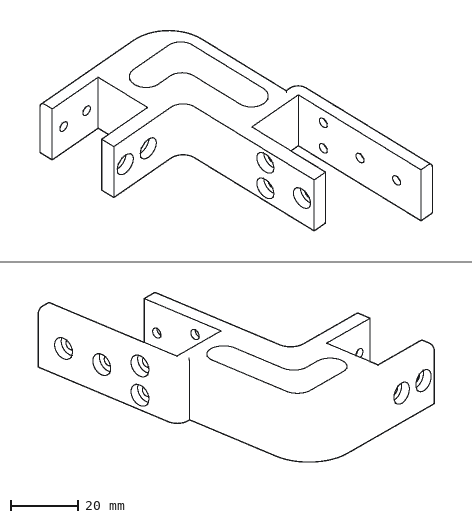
import cadquery as cq

length = 104.2
depth = 60.0
height = 20.0
wall = 5.0
clamp_gap = 20.2
plate_reach = 20.0
arm_reach = 30.2
flange_reach = 50.2
corner_radius = 15.0
step_radius = 4.0
inside_radius = 5.0
edge_round = 2.0
slot_width = 10.0
slot_left = 10.2
slot_bottom = 25.0
slot_right = 49.2
bolt_diameter = 3.2
head_diameter = 7.0
head_depth = 3.0
bolt_inset = 5.0
leg_bolt_pitch = 10.0
arm_bolt_pitch = 15.0

leg_width = 2 * wall + clamp_gap
body_back = depth - wall
arm_back = body_back - clamp_gap
arm_front = arm_back - wall
body_right = length - flange_reach
step_left = body_right - wall
arm_right = body_right + arm_reach
mid_height = height / 2
slot_radius = slot_width / 2
slot_back = body_back - wall


def rounded_at(body, x, y, radius):
    """Round the vertical edge of a body that passes through (x, y)."""
    margin = 0.1
    low = (x - margin, y - margin, -margin)
    high = (x + margin, y + margin, height + margin)
    corner = cq.selectors.BoxSelector(low, high)
    return body.edges("|Z").edges(corner).fillet(radius)


def make_body():
    """L-shaped body with two leg plates, an inner arm and a stepped outer flange."""
    outline = [
        (0, 0),
        (wall, 0),
        (wall, plate_reach),
        (wall + clamp_gap, plate_reach),
        (wall + clamp_gap, 0),
        (leg_width, 0),
        (leg_width, arm_front),
        (arm_right, arm_front),
        (arm_right, arm_back),
        (body_right, arm_back),
        (body_right, body_back),
        (length, body_back),
        (length, depth),
        (step_left, depth),
        (step_left, body_back),
        (0, body_back),
    ]
    body = cq.Workplane("XY").polyline(outline).close().extrude(height)
    body = rounded_at(body, 0, body_back, corner_radius)
    body = rounded_at(body, step_left, depth, step_radius)
    return rounded_at(body, leg_width, arm_front, inside_radius)


def on_outer_edge(edge):
    """Tell whether a top edge lies on the left side, the back or the outside of the flange."""
    middle = edge.positionAt(0.5)
    on_left_side = middle.x < edge_round
    on_back = middle.y > body_back - edge_round and middle.x < body_right
    on_flange = middle.y > depth - edge_round
    on_corner = edge.geomType() == "CIRCLE" and middle.x < corner_radius
    return on_left_side or on_back or on_flange or on_corner


def round_upper_edge(body):
    """Round the upper edge that runs around the outside, from leg end to flange end."""
    outer_edges = [edge for edge in body.faces(">Z").edges().vals() if on_outer_edge(edge)]
    return body.newObject(outer_edges).fillet(edge_round)


def make_window():
    """L-shaped window through the body, with round ends and rounded bends."""
    bend_right = slot_left + slot_width
    bend_front = slot_back - slot_width
    return (
        cq.Workplane("XY")
        .moveTo(slot_left, slot_bottom + slot_radius)
        .radiusArc((bend_right, slot_bottom + slot_radius), -slot_radius)
        .lineTo(bend_right, bend_front - slot_radius)
        .radiusArc((bend_right + slot_radius, bend_front), slot_radius)
        .lineTo(slot_right - slot_radius, bend_front)
        .radiusArc((slot_right - slot_radius, slot_back), -slot_radius)
        .lineTo(slot_left + slot_radius, slot_back)
        .radiusArc((slot_left, slot_back - slot_radius), -slot_radius)
        .close()
        .extrude(height)
    )


def bolt_hole(head_face, inward):
    """Counterbored hole through one plate, starting at the centre of its head face."""
    start = cq.Vector(*head_face)
    direction = cq.Vector(*inward)
    shank = cq.Solid.makeCylinder(bolt_diameter / 2, wall, start, direction)
    head = cq.Solid.makeCylinder(head_diameter / 2, head_depth, start, direction)
    return cq.Workplane(shank.fuse(head))


body = round_upper_edge(make_body())
body = body.cut(make_window())

for y in (bolt_inset, bolt_inset + leg_bolt_pitch):
    body = body.cut(bolt_hole((0, y, mid_height), (1, 0, 0)))
    body = body.cut(bolt_hole((leg_width, y, mid_height), (-1, 0, 0)))

end_bolt_x = arm_right - bolt_inset
pair_x = end_bolt_x - arm_bolt_pitch
clamp_bolts = [
    (pair_x, mid_height - bolt_inset),
    (pair_x, mid_height + bolt_inset),
    (end_bolt_x, mid_height),
]
flange_bolts = clamp_bolts + [(end_bolt_x + arm_bolt_pitch, mid_height)]
for x, z in clamp_bolts:
    body = body.cut(bolt_hole((x, arm_front, z), (0, 1, 0)))
for x, z in flange_bolts:
    body = body.cut(bolt_hole((x, depth, z), (0, -1, 0)))

result = body